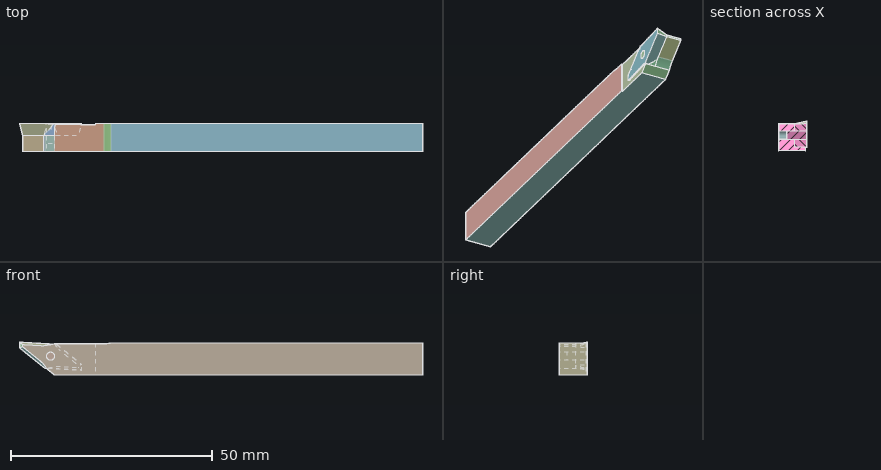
import cadquery as cq
import math


length = 100.0
width = 7.0
shank_height = 8.0
nose_angle = 39.0
run_per_rise = 1 / math.tan(math.radians(nose_angle))

flat_height = 7.8
flat_end_x = 20.9
runout_end_x = 22.7

lip_tip_x = 0.75
lip_tip_z = 7.55
lip_end_x = 6.0
lip_end_z = 7.25
rise_start_x = 6.3
rise_start_z = 7.35
rise_sag = 0.08
ridge_x = 8.7
lip_fall = (lip_tip_z - lip_end_z) / (lip_end_x - lip_tip_x)

pin_x = 7.7
pin_z = 4.7
pin_diameter = 2.0
pin_end_y = 2.0

lip_nose_z = 7.05
relief_straight_end_z = 3.5
relief_end_z = 2 * pin_z - flat_height

relief_end_x = 2 * pin_x - ridge_x
nose_foot_x = relief_end_x + relief_end_z * run_per_rise

side_relief = 0.3
side_relief_end_x = 18.8

insert_thickness = 3.0
insert_seat_y = width - insert_thickness
tip_z = 8.2
front_edge_bottom_z = 6.75

clearance = 2.0


def side_prism(outline, y_start, y_end):
    """Close an outline drawn in X and Z and extrude it from y_start to y_end."""
    return outline.close().extrude(y_start - y_end).translate((0, y_start, 0))


def nose_underside_x(z):
    """X of the nose's sloping underside at height z."""
    return nose_foot_x - z * run_per_rise


def turned_end_for_end(body):
    """The body after half a turn about the pin axis."""
    return body.rotate((pin_x, 0, pin_z), (pin_x, 1, pin_z), 180)


def groove_space(y_start, y_end):
    """The space above the lip and above the curved rise behind it."""
    outline = (
        cq.Workplane("XZ")
        .moveTo(-clearance, shank_height + clearance)
        .lineTo(-clearance, lip_tip_z)
        .lineTo(lip_tip_x, lip_tip_z)
        .lineTo(lip_end_x, lip_end_z)
        .lineTo(rise_start_x, rise_start_z)
        .sagittaArc((ridge_x, flat_height), -rise_sag)
        .lineTo(ridge_x, shank_height + clearance)
    )
    return side_prism(outline, y_start, y_end)


def relief_space(y_start, y_end):
    """The space in front of the lip and under it, down to the end of the curved runout."""
    straight_end_x = lip_tip_x + (lip_nose_z - relief_straight_end_z) * run_per_rise
    outline = (
        cq.Workplane("XZ")
        .moveTo(lip_tip_x, shank_height + clearance)
        .lineTo(lip_tip_x, lip_nose_z)
        .lineTo(straight_end_x, relief_straight_end_z)
        .tangentArcPoint((relief_end_x, relief_end_z), relative=False)
        .lineTo(-clearance, relief_end_z)
        .lineTo(-clearance, shank_height + clearance)
    )
    return side_prism(outline, y_start, y_end)


def make_holder_body():
    """The holder before the insert pocket and the pin hole are cut."""
    outline = (
        cq.Workplane("XZ")
        .moveTo(nose_foot_x, 0)
        .lineTo(nose_underside_x(flat_height), flat_height)
        .lineTo(flat_end_x, flat_height)
        .tangentArcPoint((runout_end_x, shank_height), relative=False)
        .lineTo(length, shank_height)
        .lineTo(length, 0)
    )
    side_cut = (
        cq.Workplane("XY")
        .box(side_relief_end_x, side_relief, shank_height, centered=False)
        .translate((0, width - side_relief, 0))
    )
    body = side_prism(outline, 0, width)
    return body.cut(groove_space(0, width)).cut(relief_space(0, width)).cut(side_cut)


def nose_section(y, front_x, top_z, bottom_z):
    """Section of the insert's nose wedge at y: upright front, raked top and sloping flank."""
    points = [
        (front_x, top_z),
        (front_x, bottom_z),
        (front_x + (bottom_z - relief_end_z) * run_per_rise, relief_end_z),
        (ridge_x, relief_end_z),
        (ridge_x, top_z - lip_fall * (ridge_x - front_x)),
    ]
    return cq.Workplane("XZ", origin=(0, y, 0)).polyline(points).close().wires().val()


def make_insert_body():
    """The insert before the pin hole is cut: a core with the same cutting nose at both ends."""
    half_core = [
        (nose_underside_x(flat_height), flat_height),
        (relief_end_x, relief_end_z),
    ]
    turned_half = [(2 * pin_x - x, 2 * pin_z - z) for x, z in half_core]
    core_outline = cq.Workplane("XZ").polyline(half_core + turned_half)
    core = side_prism(core_outline, insert_seat_y, width)

    groove = groove_space(insert_seat_y, width)
    turned_groove = turned_end_for_end(groove)
    relief = relief_space(insert_seat_y, width)
    core = core.cut(groove).cut(turned_groove).cut(relief).cut(turned_end_for_end(relief))

    seat_section = nose_section(insert_seat_y, lip_tip_x, lip_tip_z, lip_nose_z)
    outer_section = nose_section(width, 0, tip_z, front_edge_bottom_z)
    wedge = cq.Workplane(cq.Solid.makeLoft([seat_section, outer_section], True))
    wedge = wedge.cut(turned_groove)
    return core.union(wedge).union(turned_end_for_end(wedge))


def pin_cylinder(y_end):
    """Cylinder on the pin axis, from the outer face in to y_end."""
    outer_face = cq.Workplane("XZ", origin=(pin_x, width, pin_z))
    return outer_face.circle(pin_diameter / 2).extrude(width - y_end)


pin = pin_cylinder(pin_end_y)
pin_hole = pin_cylinder(0)
insert_body = make_insert_body()
insert = insert_body.cut(pin_hole)
holder = make_holder_body().cut(insert_body).cut(pin_hole)

result = cq.Compound.makeCompound([*holder.solids().vals(), *insert.solids().vals(), pin.val()])